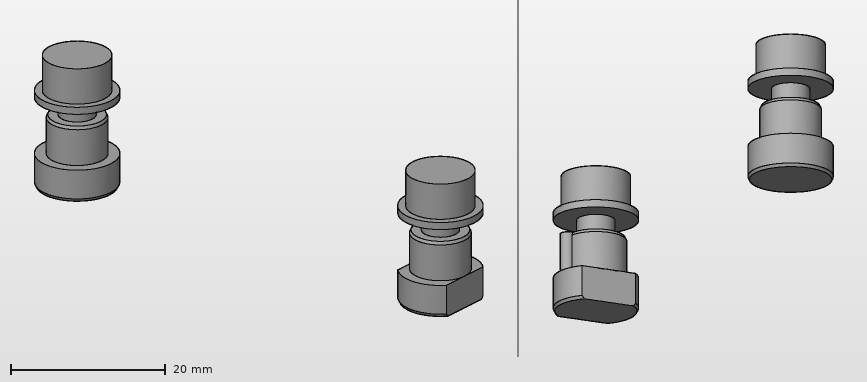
import cadquery as cq

overall_length = 71.05
flange_diameter = 11.1
total_height = 18.3
stud_offset = (overall_length - flange_diameter) / 2

foot_diameter = flange_diameter
barrel_diameter = 8.0
neck_diameter = 5.0
head_diameter = 9.0

foot_height = 4.5
barrel_height = 5.5
head_height = 5.0
flange_thickness = 1.0
barrel_top = foot_height + barrel_height
head_base = total_height - head_height
flange_base = head_base - flange_thickness

edge_height = 0.4
edge_width = 0.2

foot_width = barrel_diameter
key_diameter = 2.0


def stepped_stud():
    """Revolved stud: foot, barrel, neck, flange and head on the Z axis."""
    foot_radius = foot_diameter / 2
    barrel_radius = barrel_diameter / 2
    neck_radius = neck_diameter / 2
    flange_radius = flange_diameter / 2
    head_radius = head_diameter / 2
    profile = [
        (0, 0),
        (foot_radius - edge_width, 0),
        (foot_radius, edge_height),
        (foot_radius, foot_height),
        (barrel_radius, foot_height),
        (barrel_radius, barrel_top - edge_height),
        (barrel_radius - edge_width, barrel_top),
        (neck_radius, barrel_top),
        (neck_radius, flange_base),
        (flange_radius, flange_base),
        (flange_radius, head_base),
        (head_radius, head_base),
        (head_radius, total_height),
        (0, total_height),
    ]
    return cq.Workplane("XZ").polyline(profile).close().revolve(360, (0, 0, 0), (0, 1, 0))


def foot_flats():
    """Material removed to leave parallel flats on the +X and -X sides of the foot."""
    blank = cq.Workplane("XY").rect(2 * foot_diameter, 2 * foot_diameter).extrude(foot_height)
    kept = cq.Workplane("XY").rect(foot_width, 2 * foot_diameter).extrude(foot_height)
    return blank.cut(kept)


def barrel_key():
    """Round key along the +Y side of the barrel, centred on the barrel surface."""
    return (
        cq.Workplane("XY", origin=(0, barrel_diameter / 2, foot_height))
        .circle(key_diameter / 2)
        .extrude(barrel_height)
    )


def keyed_stud():
    """Stepped stud with a flatted foot and a key on its barrel."""
    return stepped_stud().cut(foot_flats()).union(barrel_key())


round_stud = stepped_stud().translate((-stud_offset, 0, 0))
flatted_stud = keyed_stud().translate((stud_offset, 0, 0))

result = cq.Compound.makeCompound([round_stud.val(), flatted_stud.val()])